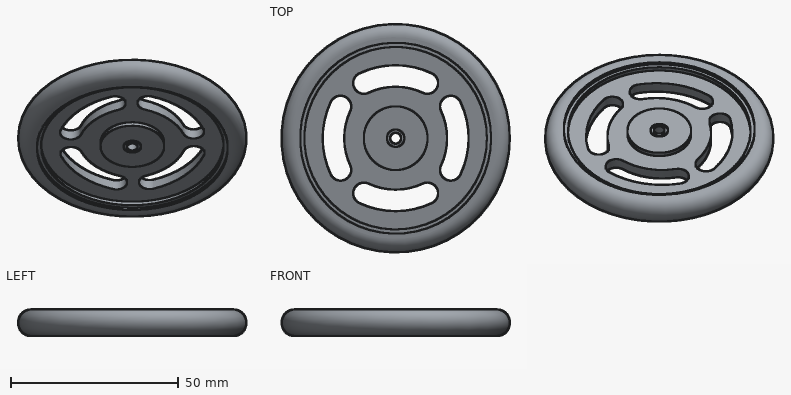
import cadquery as cq
import math


outer_radius = 34.125
tire_height = 8.04
tread_radius = tire_height / 2
tread_center_radius = outer_radius - tread_radius
seat_radius = 28.5

wheel_height = 6.35
web_height = 3.6
rim_inner_radius = 27.25
hub_radius = 9.525
boss_radius = 2.6
boss_rise = 0.25
bore_radius = 1.6

slot_count = 4
slot_width = 6.35
slot_arc_radius = 22.225
slot_mid_radius = 18.575
slot_half_angle = 25.2


def disc(radius, height):
    """Cylinder on the wheel axis, centered on Z = 0."""
    return cq.Workplane("XY").circle(radius).extrude(height / 2, both=True)


def make_slot_cutter():
    """Arc slot with round ends, its arc center lying beyond the wheel axis."""
    arc_center_x = slot_mid_radius - slot_arc_radius

    def arc_point(radius, angle):
        turn = math.radians(angle)
        return (arc_center_x + radius * math.cos(turn), radius * math.sin(turn))

    inner_arc = slot_arc_radius - slot_width / 2
    outer_arc = slot_arc_radius + slot_width / 2
    return (
        cq.Workplane("XY")
        .moveTo(*arc_point(outer_arc, -slot_half_angle))
        .threePointArc(arc_point(outer_arc, 0), arc_point(outer_arc, slot_half_angle))
        .tangentArcPoint(arc_point(inner_arc, slot_half_angle), relative=False)
        .threePointArc(arc_point(inner_arc, 0), arc_point(inner_arc, -slot_half_angle))
        .tangentArcPoint(arc_point(outer_arc, -slot_half_angle), relative=False)
        .close()
        .extrude(wheel_height / 2, both=True)
    )


def make_wheel():
    """Rim, slotted web and bored hub as one solid."""
    rim = disc(seat_radius, wheel_height).cut(disc(rim_inner_radius, wheel_height))
    web = disc(seat_radius, web_height)
    hub = disc(hub_radius, wheel_height)
    boss_height = wheel_height + 2 * boss_rise
    boss = disc(boss_radius, boss_height)
    wheel = web.union(rim).union(hub).union(boss)
    wheel = wheel.cut(disc(bore_radius, boss_height))

    slot = make_slot_cutter()
    for index in range(slot_count):
        angle = index * 360 / slot_count
        wheel = wheel.cut(slot.rotate((0, 0, 0), (0, 0, 1), angle))
    return wheel


def make_tire():
    """Ring with flat sides, a straight bore and a half-round tread."""
    return (
        cq.Workplane("XZ")
        .moveTo(seat_radius, -tread_radius)
        .lineTo(tread_center_radius, -tread_radius)
        .threePointArc((outer_radius, 0), (tread_center_radius, tread_radius))
        .lineTo(seat_radius, tread_radius)
        .close()
        .revolve(360, (0, 0, 0), (0, 1, 0))
    )


wheel = make_wheel()
tire = make_tire()
result = cq.Compound.makeCompound([wheel.val(), tire.val()])